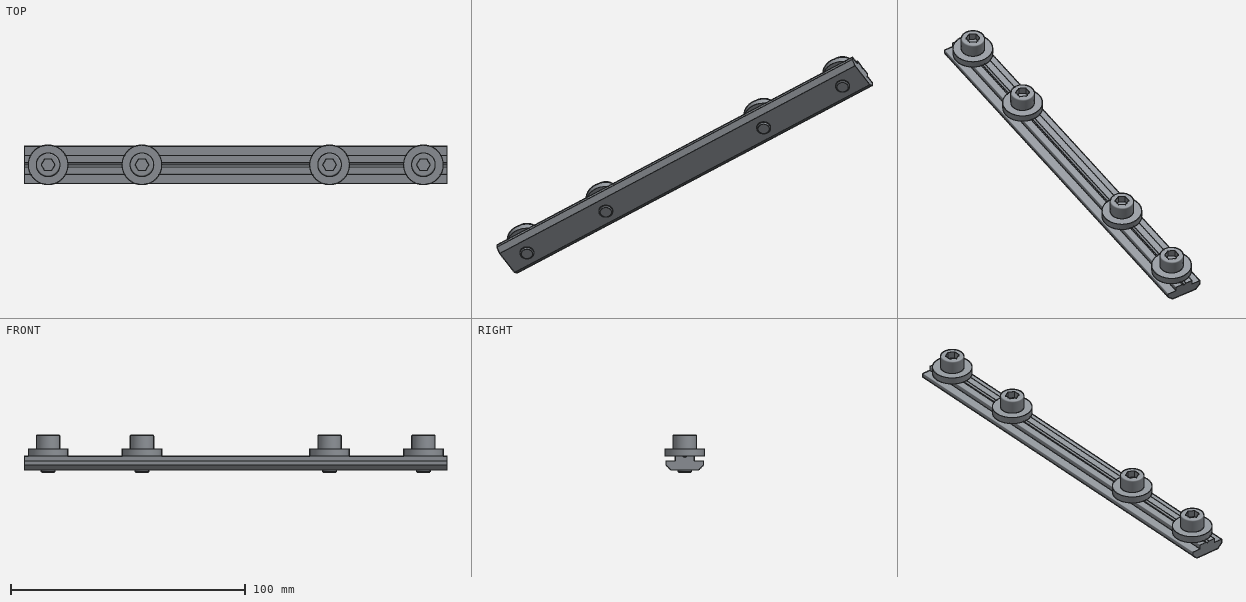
import cadquery as cq
import math

rail_length = 180.0
rail_height = 6.0
flange_width = 16.0
flange_height = 4.0
bottom_chamfer = 2.2
neck_width = 8.1
edge_rounding = 0.27
groove_width = 1.8
groove_depth = 0.5

washer_diameter = 17.0
washer_thickness = 3.0
washer_hole_diameter = 6.5

screw_diameter = 6.0
tip_diameter = 4.9
shank_length = 10.0
head_diameter = 10.0
head_height = 6.0
head_rounding = 0.6
socket_flats = 5.0
socket_depth = 3.0

inner_screw_x = 40.0
outer_screw_x = 80.0
screw_places = [-outer_screw_x, -inner_screw_x, inner_screw_x, outer_screw_x]

washer_top = rail_height + washer_thickness
head_top = washer_top + head_height
tip_bottom = washer_top - shank_length


def make_rail():
    """T-section bar with a V groove along its top and a through hole for each screw."""
    half_flange = flange_width / 2
    half_neck = neck_width / 2
    half_profile = [
        (0, 0),
        (half_flange - bottom_chamfer, 0),
        (half_flange, bottom_chamfer),
        (half_flange, flange_height),
        (half_neck, flange_height),
        (half_neck, rail_height),
        (groove_width / 2, rail_height),
        (0, rail_height - groove_depth),
    ]
    half_rail = (
        cq.Workplane("YZ")
        .polyline(half_profile)
        .close()
        .extrude(rail_length / 2, both=True)
    )
    for corner in [(0, half_flange, flange_height), (0, half_neck, rail_height)]:
        long_edge = cq.selectors.NearestToPointSelector(corner)
        half_rail = half_rail.edges(long_edge).fillet(edge_rounding)
    rail = half_rail.union(half_rail.mirror("XZ"))
    holes = (
        cq.Workplane("XY")
        .pushPoints([(x, 0) for x in screw_places])
        .circle(screw_diameter / 2)
        .extrude(rail_height)
    )
    return rail.cut(holes)


def make_washer(x):
    """Flat ring lying on the rail around the screw at x."""
    return (
        cq.Workplane("XY", origin=(x, 0, rail_height))
        .circle(washer_diameter / 2)
        .circle(washer_hole_diameter / 2)
        .extrude(washer_thickness)
    )


def make_screw(x):
    """Socket-head screw at x, its head on the washer and its tip just below the rail."""
    tip_chamfer = (screw_diameter - tip_diameter) / 2
    socket_corners = socket_flats / math.cos(math.pi / 6)
    shank = (
        cq.Workplane("XY", origin=(x, 0, tip_bottom))
        .circle(screw_diameter / 2)
        .extrude(shank_length)
        .faces("<Z")
        .chamfer(tip_chamfer)
    )
    head = (
        cq.Workplane("XY", origin=(x, 0, washer_top))
        .circle(head_diameter / 2)
        .extrude(head_height)
        .faces(">Z")
        .fillet(head_rounding)
    )
    socket = (
        cq.Workplane("XY", origin=(x, 0, head_top))
        .polygon(6, socket_corners)
        .extrude(-socket_depth)
    )
    return shank.union(head).cut(socket)


rail = make_rail()
washers = [make_washer(x) for x in screw_places]
screws = [make_screw(x) for x in screw_places]

result = cq.Compound.makeCompound(
    [rail.solids().val()]
    + [washer.val() for washer in washers]
    + [screw.solids().val() for screw in screws]
)